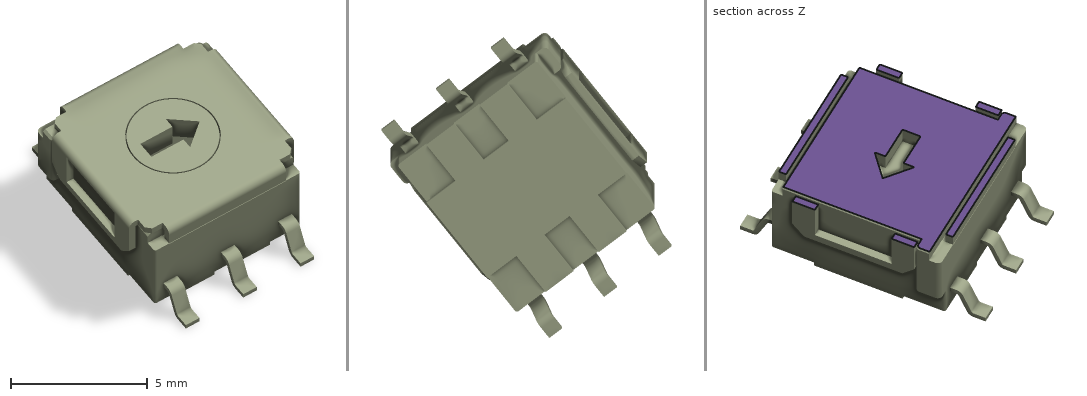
import cadquery as cq
import math


body_x = 7.1
body_y = 6.46
body_bottom = 0.04
body_corner_radius = 0.1
upper_body_x = 6.18
ledge_z = 3.35
flap_clearance = 0.03
body_edge_chamfer = 0.1

top_z = 4.12
sheet = 0.3
body_top = top_z - sheet
fold_radius = 0.27
plate_x = 6.24
plate_y = 6.5
plate_corner_chamfer = 0.2
side_flap_width = 5.18
end_flap_width = 4.98
end_flap_chamfer = 0.49
end_flap_bottom = 2.04
window_width = 3.11
window_bottom = 2.35
cover_y = 7.3

post_x = 1.05
post_bottom = 1.35
post_corner_radius = 0.2

rotor_diameter = 3.4
rotor_hole_diameter = 3.5
arrow_tip_y = 1.18
arrow_shoulder_y = 0.22
arrow_tail_y = -1.2
arrow_head_width = 1.58
arrow_shaft_width = 0.72
arrow_depth = 1.0

lead_span = 10.0
lead_width = 0.6
lead_thickness = 0.2
lead_pitch = 2.54
lead_shoulder_top = 1.17
lead_heel_x = 4.45
lead_slope_angle = 65.0
bend_inner_radius = 0.1
lead_root_depth = 0.2

recess_height = 0.17
recess_x = 1.74
recess_half_y = 0.59
corner_recess_inner_y = 1.88


def block(x_size, y_size, z_low, z_high):
    """Box centred on X = Y = 0 between two heights."""
    height = z_high - z_low
    return cq.Workplane("XY").workplane(offset=z_low).rect(x_size, y_size).extrude(height)


def make_post_bar():
    """Bar along Y whose two ends stand out of the body as corner posts."""
    centre_x = (post_x - body_x) / 2
    bar = block(post_x, cover_y, post_bottom, body_top).translate((centre_x, 0, 0))
    bar = bar.edges("|Z").fillet(post_corner_radius)
    return bar.faces(">Z").edges().chamfer(body_edge_chamfer)


def make_bottom_recesses():
    """Shallow recesses around each lead, open to the sides of the body."""
    corner_width = body_y / 2 - corner_recess_inner_y
    corner_centre = (body_y / 2 + corner_recess_inner_y) / 2
    recess_centre_x = (body_x - recess_x) / 2
    recesses = cq.Workplane("XY")
    for side in (-1, 1):
        for y, width in (
            (-corner_centre, corner_width),
            (0, 2 * recess_half_y),
            (corner_centre, corner_width),
        ):
            recess = block(recess_x, width, body_bottom, body_bottom + recess_height)
            recesses = recesses.union(recess.translate((side * recess_centre_x, y, 0)))
    return recesses


def make_body():
    body = block(body_x, body_y, body_bottom, body_top)
    body = body.edges("|Z").fillet(body_corner_radius)
    body = body.faces(">Z").edges("|X").chamfer(body_edge_chamfer)
    body = body.union(make_post_bar())
    ledge_width = (body_x - upper_body_x) / 2
    ledge = block(ledge_width, cover_y, ledge_z, top_z)
    ledge = ledge.union(block(ledge_width, side_flap_width, ledge_z - flap_clearance, top_z))
    for side in (-1, 1):
        body = body.cut(ledge.translate((side * (upper_body_x + ledge_width) / 2, 0, 0)))
    return body.cut(make_bottom_recesses())


def make_side_flaps():
    """Channel folded down over both X sides."""
    outer = block(body_x, side_flap_width, ledge_z, top_z)
    outer = outer.faces(">Z").edges("|Y").fillet(fold_radius)
    return outer.cut(block(body_x - 2 * sheet, side_flap_width, ledge_z, body_top))


def make_end_flaps():
    """Channel folded down over both Y sides, with clipped corners and a window in each flap."""
    outer = block(end_flap_width, cover_y, end_flap_bottom, top_z)
    outer = outer.faces(">Z").edges("|X").fillet(fold_radius)
    outer = outer.faces("<Z").edges("|Y").chamfer(end_flap_chamfer)
    flaps = outer.cut(block(end_flap_width, cover_y - 2 * sheet, end_flap_bottom, body_top))
    return flaps.cut(block(window_width, cover_y, window_bottom, body_top))


def make_cover():
    plate = block(plate_x, plate_y, body_top, top_z).edges("|Z").chamfer(plate_corner_chamfer)
    cover = plate.union(make_side_flaps()).union(make_end_flaps())
    rotor_hole = cq.Workplane("XY").workplane(offset=body_top).circle(rotor_hole_diameter / 2)
    return cover.cut(rotor_hole.extrude(sheet))


def make_rotor():
    """Disc flush with the cover and standing on the body."""
    return cq.Workplane("XY").workplane(offset=body_top).circle(rotor_diameter / 2).extrude(sheet)


def make_arrow_slot():
    half_head = arrow_head_width / 2
    half_shaft = arrow_shaft_width / 2
    return (
        cq.Workplane("XY")
        .workplane(offset=top_z - arrow_depth)
        .polyline([
            (0, arrow_tip_y),
            (half_head, arrow_shoulder_y),
            (half_shaft, arrow_shoulder_y),
            (half_shaft, arrow_tail_y),
            (-half_shaft, arrow_tail_y),
            (-half_shaft, arrow_shoulder_y),
            (-half_head, arrow_shoulder_y),
        ])
        .close()
        .extrude(arrow_depth)
    )


def make_lead():
    """Gull-wing lead on the +X side, centred on Y = 0."""
    slope = math.radians(lead_slope_angle)
    root_x = body_x / 2 - lead_root_depth
    toe_x = lead_span / 2
    shoulder_bottom = lead_shoulder_top - lead_thickness
    knee_x = lead_heel_x - (lead_shoulder_top - lead_thickness) / math.tan(slope)
    lower_shift = lead_thickness * math.tan(slope / 2)
    knee_under_x = knee_x - lower_shift
    heel_under_x = lead_heel_x - lower_shift
    lead = (
        cq.Workplane("XZ")
        .polyline([
            (root_x, lead_shoulder_top),
            (knee_x, lead_shoulder_top),
            (lead_heel_x, lead_thickness),
            (toe_x, lead_thickness),
            (toe_x, 0),
            (heel_under_x, 0),
            (knee_under_x, shoulder_bottom),
            (root_x, shoulder_bottom),
        ])
        .close()
        .extrude(lead_width / 2, both=True)
    )
    bend_outer_radius = bend_inner_radius + lead_thickness
    for x, z, radius in (
        (knee_x, lead_shoulder_top, bend_outer_radius),
        (knee_under_x, shoulder_bottom, bend_inner_radius),
        (lead_heel_x, lead_thickness, bend_inner_radius),
        (heel_under_x, 0, bend_outer_radius),
    ):
        lead = lead.edges(cq.NearestToPointSelector((x, 0, z))).fillet(radius)
    return lead


result = make_body().union(make_cover()).union(make_rotor()).cut(make_arrow_slot())
right_lead = make_lead()
for lead in (right_lead, right_lead.mirror("YZ")):
    for row in (-1, 0, 1):
        result = result.union(lead.translate((0, row * lead_pitch, 0)))